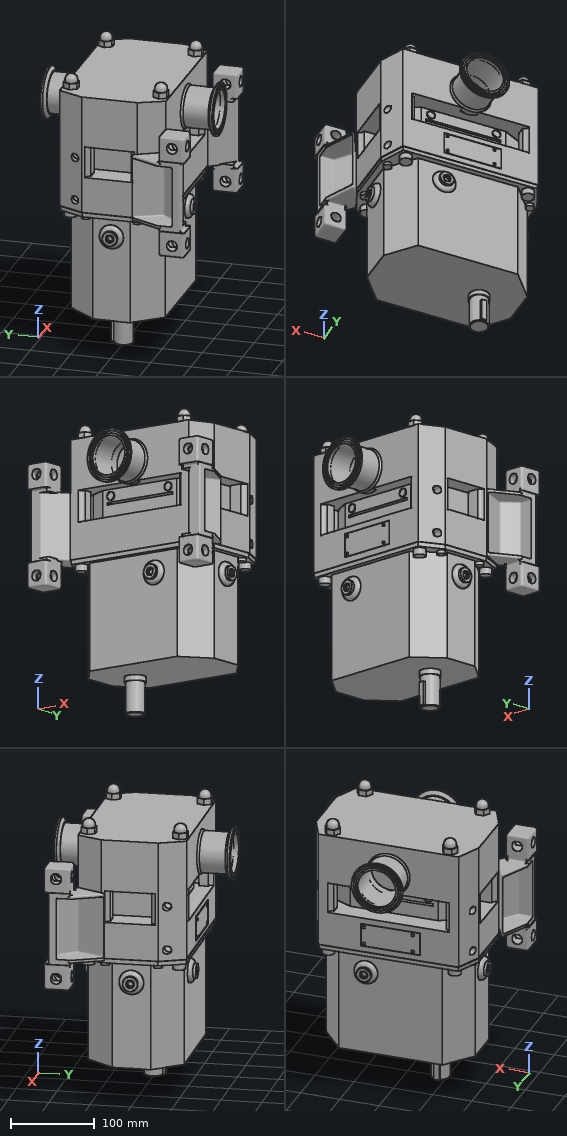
import cadquery as cq
import math

GEARBOX_BOTTOM = 46.0
FLANGE_BOTTOM = 178.5
BODY_BOTTOM = 184.2
WINDOW_FLOOR = 229.3
HEAD_BOTTOM = 268.5
HEAD_TOP = 332.0
TOTAL_HEIGHT = 349.5

HEAD_X = 207.5
HEAD_Y = 132.5
HEAD_CHAMFER_X = 14.5
HEAD_CHAMFER_Y = 31.5
FLANGE_INSET = 0.7
WINDOW_X = 154.5
WINDOW_Y = 61.5
WINDOW_STEP = 5.5
WINDOW_DEPTH = 6.0
CAVITY_X = 164.3
CAVITY_Y = 98.0
CHAMFER_HOLE_D = 9.8
CHAMFER_HOLE_Y = 44.5
CHAMFER_HOLE_LEVELS = (198.0, 252.0)
CHAMFER_HOLE_DEPTH = 14.0
CHAMFER_HOLE_POINT = 2.8

BLOCK_BOTTOM = 231.8
BLOCK_X = 157.3
BLOCK_Y = 92.3
BLOCK_CHAMFER_X = 22.7
BLOCK_CHAMFER_Y = 11.2
SLIT_X = 98.5
SLIT_BOTTOM = 250.0
SLIT_HEIGHT = 2.8
BLOCK_SCREW_X = 43.5
BLOCK_SCREW_Z = 260.0
BLOCK_SCREW_D = 10.5
BLOCK_SCREW_HEIGHT = 1.5

GEARBOX_X = 190.0
GEARBOX_Y = 117.5
GEARBOX_CHAMFER_X = 29.0
GEARBOX_CHAMFER_Y = 35.3
CORNER_SCREW_AT = (80.7, 55.5)
CORNER_SCREW_D = 15.5
CORNER_SCREW_HEIGHT = 8.5
SIDE_SCREW_AT = (94.0, 32.0)
SIDE_SCREW_D = 10.5
SIDE_SCREW_HEIGHT = 4.2

PLUG_Z = 153.8
PLUG_X = 31.5
PLUG_BASE_R = 15.0
PLUG_SHOULDER_R = 10.5
PLUG_TIP_R = 9.0
PLUG_SHOULDER = 5.2
PLUG_BULGE = 1.5
PLUG_HEIGHT = 8.7
PLUG_SOCKET_R = 5.0
PLUG_SOCKET_DEPTH = 1.7
PLUG_HOLE_R = 3.5
PLUG_HOLE_DEPTH = 3.5

PORT_Z = 293.5
PORT_REACH = 107.0
PORT_TUBE_R = 25.5
PORT_BORE_R = 24.0
PORT_BORE_END = 59.5
FERRULE_R = 32.35
FERRULE_RIM = 2.8
FERRULE_HEIGHT = 6.3
GROOVE_INNER_R = 27.0
GROOVE_OUTER_R = 29.7
GROOVE_DEPTH = 1.5
FERRULE_NECK_R = 27.0
PORT_FLARE_R = 27.3
PORT_FLARE_HEIGHT = 2.8

NUT_AT = (74.8, 56.0)
NUT_FLATS = 16.8
NUT_HEX_HEIGHT = 7.5
NUT_DOME_R = 7.7

SHAFT_X = -42.3
SHAFT_D = 23.8
SHAFT_CHAMFER = 1.0
COLLAR_D = 26.0
COLLAR_HEIGHT = 6.5
KEY_WIDTH = 7.0
KEY_LENGTH = 29.5
KEY_RISE = 2.8

PLATE_LEFT = -40.2
PLATE_RIGHT = 35.0
PLATE_BOTTOM = 192.3
PLATE_TOP = 221.5
PLATE_THICKNESS = 0.7
PLATE_RIVET_X = 31.0
PLATE_RIVET_LEVELS = (195.7, 217.8)
PLATE_RIVET_R = 1.7

FOOT_Z = 225.0
FOOT_HEIGHT = 84.5
FOOT_OUTER_X = 128.3
FOOT_FRONT_Y = -94.7
FOOT_KNEE_X = 112.5
FOOT_APEX = (109.5, -27.5)
FOOT_SHOULDER_Y = -66.5
FOOT_WALL = 4.2
FOOT_LIP_Y = -85.3
FOOT_FILLET = 2.0
RECESS_FILLET = 2.5
CUBE_X = 29.5
CUBE_Y = 31.8
CUBE_Z = 31.8
CUBE_OUTER_X = 129.15
CUBE_FRONT_Y = -100.3
NECK_LENGTH = 4.5
CUBE_OUTER_Z = 76.5
CUBE_FILLET = 3.0
COVE_R = 2.5
CUBE_HOLE_D = 13.0
CUBE_HOLE_X = 114.5
CUBE_HOLE_Y = -85.3
CUBE_HOLE_Z = 62.2

CORNERS = [(sx, sy) for sx in (-1, 1) for sy in (-1, 1)]


def chamfered_prism(size_x, size_y, chamfer_x, chamfer_y, bottom, top):
    """Upright rectangular prism with its four vertical edges cut back."""
    x, y = size_x / 2, size_y / 2
    points = [
        (x, y - chamfer_y), (x - chamfer_x, y),
        (chamfer_x - x, y), (-x, y - chamfer_y),
        (-x, chamfer_y - y), (chamfer_x - x, -y),
        (x - chamfer_x, -y), (x, chamfer_y - y),
    ]
    return cq.Workplane("XY").workplane(offset=bottom).polyline(points).close().extrude(top - bottom)


def box(x_min, x_max, y_min, y_max, z_min, z_max):
    """Box given by its limits."""
    size = (x_max - x_min, y_max - y_min, z_max - z_min)
    return cq.Workplane("XY").box(*size, centered=False).translate((x_min, y_min, z_min))


def centred_box(size_x, size_y, z_min, z_max):
    """Box centred on the Z axis."""
    return box(-size_x / 2, size_x / 2, -size_y / 2, size_y / 2, z_min, z_max)


def upright_cylinder(x, y, diameter, z_min, z_max):
    """Vertical cylinder."""
    return cq.Workplane("XY", origin=(x, y, z_min)).circle(diameter / 2).extrude(z_max - z_min)


def mirrored_corners(position):
    """The position repeated in all four quadrants."""
    return [(sx * position[0], sy * position[1]) for sx, sy in CORNERS]


def make_windows():
    """Central cavity and the four windows into it, each narrowing through a rounded mouth."""
    narrow_x = WINDOW_X - 2 * WINDOW_STEP
    narrow_y = WINDOW_Y - 2 * WINDOW_STEP
    windows = centred_box(CAVITY_X, CAVITY_Y, WINDOW_FLOOR, HEAD_BOTTOM)
    windows = windows.union(centred_box(narrow_x, HEAD_Y, WINDOW_FLOOR, HEAD_BOTTOM))
    windows = windows.union(centred_box(HEAD_X, narrow_y, WINDOW_FLOOR, HEAD_BOTTOM))
    for side in (-1, 1):
        mouth_y = centred_box(WINDOW_X, 2 * WINDOW_DEPTH, WINDOW_FLOOR, HEAD_BOTTOM)
        mouth_y = mouth_y.edges("|Z").fillet(WINDOW_STEP)
        windows = windows.union(mouth_y.translate((0, side * HEAD_Y / 2, 0)))
        mouth_x = centred_box(2 * WINDOW_DEPTH, WINDOW_Y, WINDOW_FLOOR, HEAD_BOTTOM)
        mouth_x = mouth_x.edges("|Z").fillet(WINDOW_STEP)
        windows = windows.union(mouth_x.translate((side * HEAD_X / 2, 0, 0)))
    return windows


def make_seal_block():
    """Chamfered block below the head, with a slit through it and screw heads front and rear."""
    block = chamfered_prism(
        BLOCK_X, BLOCK_Y, BLOCK_CHAMFER_X, BLOCK_CHAMFER_Y, BLOCK_BOTTOM, HEAD_BOTTOM)
    block = block.cut(centred_box(SLIT_X, BLOCK_Y, SLIT_BOTTOM, SLIT_BOTTOM + SLIT_HEIGHT))
    screws = (
        cq.Workplane("XZ", origin=(0, 0, BLOCK_SCREW_Z))
        .pushPoints([(-BLOCK_SCREW_X, 0), (BLOCK_SCREW_X, 0)])
        .circle(BLOCK_SCREW_D / 2)
        .extrude(BLOCK_Y / 2 + BLOCK_SCREW_HEIGHT, both=True)
    )
    return block.union(screws)


def make_chamfer_hole():
    """Drilled hole with a conical end, along X into the +X side at Y = 0, Z = 0."""
    radius = CHAMFER_HOLE_D / 2
    mouth = HEAD_X / 2
    floor = mouth - CHAMFER_HOLE_DEPTH
    return (
        cq.Workplane("XY")
        .polyline([(mouth, 0), (mouth, radius), (floor, radius), (floor - CHAMFER_HOLE_POINT, 0)])
        .close()
        .revolve(360, (0, 0, 0), (1, 0, 0))
    )


def make_pump_body():
    """Head, windowed body and base flange with the seal block inside."""
    body = chamfered_prism(HEAD_X, HEAD_Y, HEAD_CHAMFER_X, HEAD_CHAMFER_Y, BODY_BOTTOM, HEAD_TOP)
    body = body.cut(make_windows()).union(make_seal_block())
    for level in CHAMFER_HOLE_LEVELS:
        hole = make_chamfer_hole().translate((0, CHAMFER_HOLE_Y, level))
        body = body.cut(hole).cut(hole.mirror("YZ"))
    flange = chamfered_prism(
        HEAD_X - 2 * FLANGE_INSET, HEAD_Y - 2 * FLANGE_INSET,
        HEAD_CHAMFER_X, HEAD_CHAMFER_Y, FLANGE_BOTTOM, BODY_BOTTOM)
    return body.union(flange)


def make_plug():
    """Round-shouldered screw plug with a stepped socket, standing on the XY plane."""
    plug = (
        cq.Workplane("XZ")
        .moveTo(0, 0)
        .lineTo(PLUG_BASE_R, 0)
        .threePointArc(
            ((PLUG_BASE_R + PLUG_SHOULDER_R) / 2 + PLUG_BULGE, PLUG_SHOULDER / 2),
            (PLUG_SHOULDER_R, PLUG_SHOULDER))
        .lineTo(PLUG_TIP_R, PLUG_SHOULDER)
        .lineTo(PLUG_TIP_R, PLUG_HEIGHT)
        .lineTo(0, PLUG_HEIGHT)
        .close()
        .revolve(360, (0, 0, 0), (0, 1, 0))
    )
    top = cq.Workplane("XY", origin=(0, 0, PLUG_HEIGHT))
    plug = plug.cut(top.circle(PLUG_SOCKET_R).extrude(-PLUG_SOCKET_DEPTH))
    return plug.cut(top.circle(PLUG_HOLE_R).extrude(-PLUG_HOLE_DEPTH))


def make_gearbox():
    """Chamfered gearbox with flange screws and four plugs."""
    gearbox = chamfered_prism(
        GEARBOX_X, GEARBOX_Y, GEARBOX_CHAMFER_X, GEARBOX_CHAMFER_Y, GEARBOX_BOTTOM, FLANGE_BOTTOM)
    for x, y in mirrored_corners(CORNER_SCREW_AT):
        gearbox = gearbox.union(
            upright_cylinder(x, y, CORNER_SCREW_D, FLANGE_BOTTOM - CORNER_SCREW_HEIGHT, FLANGE_BOTTOM))
    for x, y in mirrored_corners(SIDE_SCREW_AT):
        gearbox = gearbox.union(
            upright_cylinder(x, y, SIDE_SCREW_D, FLANGE_BOTTOM - SIDE_SCREW_HEIGHT, FLANGE_BOTTOM))
    for side in (-1, 1):
        side_plug = make_plug().rotate((0, 0, 0), (0, 1, 0), side * 90)
        gearbox = gearbox.union(side_plug.translate((side * GEARBOX_X / 2, 0, PLUG_Z)))
        end_plug = make_plug().rotate((0, 0, 0), (1, 0, 0), -side * 90)
        gearbox = gearbox.union(end_plug.translate((PLUG_X, side * GEARBOX_Y / 2, PLUG_Z)))
    return gearbox


def make_port():
    """Ferrule tube on the +Y side, as a profile turned about its own axis."""
    root = PORT_BORE_END
    face = HEAD_Y / 2
    return (
        cq.Workplane("XY")
        .polyline([
            (0, root),
            (PORT_FLARE_R, root),
            (PORT_FLARE_R, face),
            (PORT_TUBE_R, face + PORT_FLARE_HEIGHT),
            (PORT_TUBE_R, PORT_REACH - FERRULE_HEIGHT),
            (FERRULE_NECK_R, PORT_REACH - FERRULE_HEIGHT),
            (FERRULE_R, PORT_REACH - FERRULE_RIM),
            (FERRULE_R, PORT_REACH),
            (GROOVE_OUTER_R, PORT_REACH),
            (GROOVE_OUTER_R, PORT_REACH - GROOVE_DEPTH),
            (GROOVE_INNER_R, PORT_REACH - GROOVE_DEPTH),
            (GROOVE_INNER_R, PORT_REACH),
            (0, PORT_REACH),
        ])
        .close()
        .revolve(360, (0, 0, 0), (0, 1, 0))
        .translate((0, 0, PORT_Z))
    )


def make_port_bore():
    """Blind bore of the +Y port."""
    return (
        cq.Workplane("XZ", origin=(0, PORT_BORE_END, PORT_Z))
        .circle(PORT_BORE_R)
        .extrude(PORT_BORE_END - PORT_REACH)
    )


def make_acorn_nut(x, y):
    """Hexagon with a domed cap, standing on the head."""
    dome_centre = TOTAL_HEIGHT - NUT_DOME_R
    across_corners = NUT_FLATS / math.cos(math.pi / 6)
    nut = cq.Workplane("XY", origin=(x, y, HEAD_TOP)).polygon(6, across_corners).extrude(NUT_HEX_HEIGHT)
    nut = nut.union(upright_cylinder(x, y, 2 * NUT_DOME_R, HEAD_TOP, dome_centre))
    return nut.union(cq.Workplane("XY").sphere(NUT_DOME_R).translate((x, y, dome_centre)))


def make_shaft():
    """Drive shaft with its collar and key."""
    shaft = upright_cylinder(SHAFT_X, 0, SHAFT_D, 0, GEARBOX_BOTTOM)
    shaft = shaft.faces("<Z").chamfer(SHAFT_CHAMFER)
    collar = upright_cylinder(SHAFT_X, 0, COLLAR_D, GEARBOX_BOTTOM - COLLAR_HEIGHT, GEARBOX_BOTTOM)
    key = box(
        SHAFT_X - KEY_WIDTH / 2, SHAFT_X + KEY_WIDTH / 2,
        0, SHAFT_D / 2 + KEY_RISE,
        SHAFT_CHAMFER, SHAFT_CHAMFER + KEY_LENGTH)
    return shaft.union(collar).union(key)


def make_name_plate():
    """Thin plate on the rear of the body with a round rivet near each corner."""
    face = HEAD_Y / 2
    plate = box(PLATE_LEFT, PLATE_RIGHT, face, face + PLATE_THICKNESS, PLATE_BOTTOM, PLATE_TOP)
    for x in (-PLATE_RIVET_X, PLATE_RIVET_X):
        for level in PLATE_RIVET_LEVELS:
            rivet = cq.Workplane("XY").sphere(PLATE_RIVET_R)
            plate = plate.union(rivet.translate((x, face + PLATE_THICKNESS, level)))
    return plate


def make_housing():
    """The whole pump without its feet."""
    housing = make_pump_body().union(make_gearbox()).union(make_shaft()).union(make_name_plate())
    for half_turn in (0, 180):
        axis = ((0, 0, 0), (0, 0, 1))
        housing = housing.union(make_port().rotate(*axis, half_turn))
        housing = housing.cut(make_port_bore().rotate(*axis, half_turn))
    for x, y in mirrored_corners(NUT_AT):
        housing = housing.union(make_acorn_nut(x, y))
    return housing


def make_foot_web():
    """Channel that leans on the body chamfer: two gussets, a back wall and a slanted leg, open outwards."""
    bottom = FOOT_Z - FOOT_HEIGHT / 2
    heel = (HEAD_X / 2 - HEAD_CHAMFER_X, -HEAD_Y / 2)
    outline = [
        FOOT_APEX, heel, (FOOT_KNEE_X, FOOT_FRONT_Y),
        (FOOT_OUTER_X, FOOT_FRONT_Y), (FOOT_OUTER_X, FOOT_SHOULDER_Y),
    ]
    web = cq.Workplane("XY").workplane(offset=bottom).polyline(outline).close().extrude(FOOT_HEIGHT)
    web = web.edges().fillet(FOOT_FILLET)

    back = math.hypot(HEAD_CHAMFER_X, HEAD_CHAMFER_Y)
    back_shift = FOOT_WALL * back / HEAD_CHAMFER_Y
    back_slope = HEAD_CHAMFER_X / HEAD_CHAMFER_Y
    leg_run = FOOT_KNEE_X - heel[0]
    leg_drop = heel[1] - FOOT_FRONT_Y
    leg_shift = FOOT_WALL * math.hypot(leg_run, leg_drop) / leg_drop
    leg_slope = leg_run / leg_drop
    corner_drop = (back_shift - leg_shift) / (back_slope + leg_slope)
    corner = (heel[0] + back_shift - back_slope * corner_drop, heel[1] - corner_drop)
    knee = (heel[0] + leg_shift + leg_slope * (heel[1] - FOOT_LIP_Y), FOOT_LIP_Y)
    top_y = FOOT_APEX[1]
    mouth = FOOT_OUTER_X + 2 * FOOT_WALL
    recess = (
        cq.Workplane("XY").workplane(offset=bottom + FOOT_WALL)
        .polyline([
            (heel[0] + back_shift + back_slope * (top_y - heel[1]), top_y),
            corner, knee, (mouth, FOOT_LIP_Y), (mouth, top_y),
        ])
        .close()
        .extrude(FOOT_HEIGHT - 2 * FOOT_WALL)
        .edges()
        .fillet(RECESS_FILLET)
    )
    return web.cut(recess)


def make_cove(x_min, x_max, corner_y, corner_z, y_side, z_side):
    """Concave corner fill along X; the sides (+1 or -1) tell which way it spreads from the corner."""
    y_far = corner_y + y_side * COVE_R
    z_far = corner_z + z_side * COVE_R
    fill = box(
        x_min, x_max, min(corner_y, y_far), max(corner_y, y_far), min(corner_z, z_far), max(corner_z, z_far))
    hollow = cq.Workplane("YZ", origin=(x_min, y_far, z_far)).circle(COVE_R).extrude(x_max - x_min)
    return fill.cut(hollow)


def make_foot_cube(level):
    """Rounded mounting cube, with the neck and coves that join it to the web; level is +1 or -1."""
    x_max = CUBE_OUTER_X
    x_min = x_max - CUBE_X
    y_min = CUBE_FRONT_Y
    y_max = y_min + CUBE_Y
    z_out = FOOT_Z + level * CUBE_OUTER_Z
    z_in = z_out - level * CUBE_Z
    outer_face = ">Z" if level > 0 else "<Z"
    cube = box(x_min, x_max, y_min, y_max, min(z_in, z_out), max(z_in, z_out))
    cube = cube.edges("|Z or " + outer_face).fillet(CUBE_FILLET)

    neck_start = z_in + level * COVE_R
    neck_end = z_in - level * NECK_LENGTH
    neck = box(
        x_min, FOOT_OUTER_X, FOOT_FRONT_Y, y_max,
        min(neck_start, neck_end), max(neck_start, neck_end))
    neck = neck.edges("|Z").fillet(FOOT_FILLET)
    web_face = FOOT_Z + level * FOOT_HEIGHT / 2
    cove_x = (x_min + CUBE_FILLET, FOOT_OUTER_X - FOOT_FILLET)
    front_cove = make_cove(*cove_x, FOOT_FRONT_Y, z_in, -1, -level)
    rear_cove = make_cove(*cove_x, y_max, web_face, 1, level)
    return cube.union(neck).union(front_cove).union(rear_cove)


def make_foot(side):
    """One foot; side is +1 for the +X foot and -1 for its mirror image."""
    foot = make_foot_web()
    for level in (-1, 1):
        foot = foot.union(make_foot_cube(level))
        centre = (CUBE_HOLE_X, CUBE_HOLE_Y, FOOT_Z + level * CUBE_HOLE_Z)
        for plane in ("XZ", "YZ"):
            hole = cq.Workplane(plane, origin=centre).circle(CUBE_HOLE_D / 2).extrude(CUBE_Y, both=True)
            foot = foot.cut(hole)
    return foot if side > 0 else foot.mirror("YZ")


housing = make_housing()
feet = [make_foot(side) for side in (-1, 1)]

result = cq.Compound.makeCompound([housing.val(), *[foot.val() for foot in feet]])